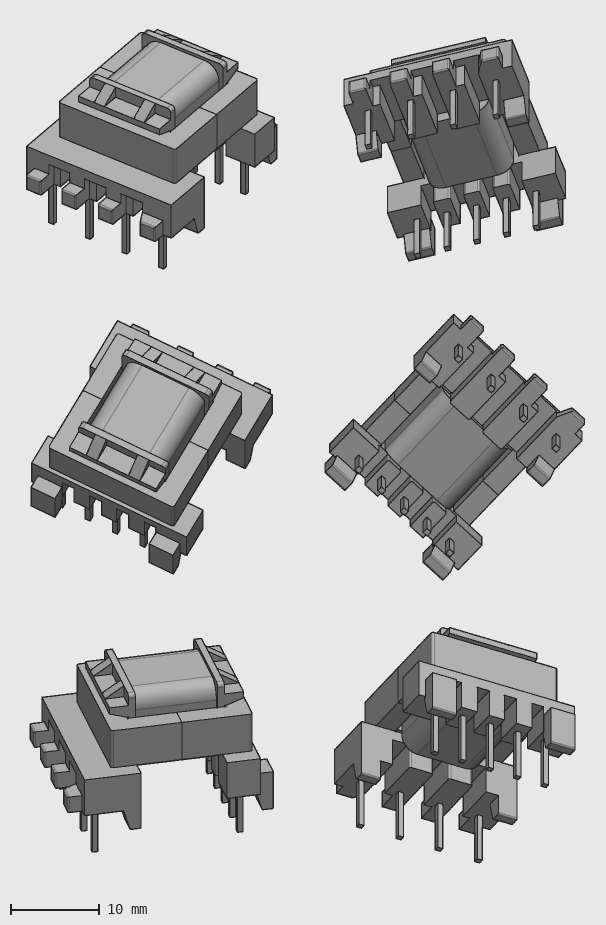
import cadquery as cq


CORE_WIDTH = 16.0
CORE_HALF_LENGTH = 8.2
CORE_BOTTOM = 4.65
CORE_TOP = 9.4
CORE_MID = (CORE_BOTTOM + CORE_TOP) / 2
CORE_CORNER = 0.3
WINDOW_WIDTH = 11.19
WINDOW_HALF_LENGTH = 5.71
LEG_WIDTH = 4.52

COIL_HALF_LENGTH = 4.75
COIL_SIZE = 10.0
COIL_CORNER = 2.0

FLANGE_WIDTH = 11.1
FLANGE_THICKNESS = 0.8
FLANGE_OUTER = COIL_HALF_LENGTH + FLANGE_THICKNESS
FLANGE_TOP = 12.4
FLANGE_CORNER = 0.5
SHELF_END = 7.78
SHELF_ROOT = 9.45
SHELF_EDGE_BOTTOM = 10.2
SHELF_TOP = 11.0
RIB_INNER = 2.0
RIB_WIDTH = 1.43

BASE_WIDTH = 19.8
BASE_TOP = 4.6
SLOT_TOP = 3.33
OUTER_POST_INNER = 5.95
POST_CORNER = 0.24

FRONT_FACE = -11.75
FRONT_BACK = -5.2
FRONT_POST_INNER = 1.0
FRONT_POST_OUTER = 4.0
SLOT_MOUTH_DEPTH = 1.0

PEG_SIZE = 2.0
PEG_END = -13.45
PEG_ROUND = 0.2
OUTER_PEG_INNER = 6.8
STRAIGHT_PEGS = [-OUTER_PEG_INNER - PEG_SIZE, -FRONT_POST_OUTER, FRONT_POST_INNER]

REAR_FACE = 8.66
REAR_CENTRE_POST = 1.9
REAR_POST_INNER = 2.5
REAR_POST_OUTER = 4.5

FOOT_BOTTOM = -2.5
FOOT_ROOT_DEPTH = 2.02
FOOT_TIP_DEPTH = 1.29
FOOT_ROUND = 0.2
FRONT_FOOT_INNER = 7.5
REAR_FOOT_BACK = 10.35
REAR_FOOT_TOP = 2.25
REAR_FOOT_INNER = 6.02
REAR_FOOT_OUTER = 9.07

PIN_WIDTH = 0.65
PIN_END = -6.0
FRONT_PIN_Y = -10.02
REAR_PIN_Y = 6.95
FRONT_PINS = [-7.52, -2.5, 2.5, 7.52]
REAR_PINS = [-7.0, -3.5, 0, 3.5, 7.0]


def block(x_range, y_range, z_range):
    """Box between two x, two y and two z positions given in any order."""
    x0, x1 = sorted(x_range)
    y0, y1 = sorted(y_range)
    z0, z1 = sorted(z_range)
    return cq.Workplane("XY").box(x1 - x0, y1 - y0, z1 - z0, centered=False).translate((x0, y0, z0))


def centred_block(width, y_range, z_range):
    return block((-width / 2, width / 2), y_range, z_range)


def side_profile(points, x0, x1):
    """Outline of (y, z) points extruded from x0 to x1."""
    return cq.Workplane("YZ").workplane(offset=x0).polyline(points).close().extrude(x1 - x0)


def core_half(side):
    """E-shaped core half on the side (+1 or -1) of y = 0, with its legs ending at y = 0."""
    half = centred_block(CORE_WIDTH, (0, side * CORE_HALF_LENGTH), (CORE_BOTTOM, CORE_TOP))
    half = half.edges("|Z").edges(">Y" if side > 0 else "<Y").fillet(CORE_CORNER)
    window = centred_block(WINDOW_WIDTH, (0, side * WINDOW_HALF_LENGTH), (CORE_BOTTOM, CORE_TOP))
    return half.cut(window.cut(leg_space()))


def leg_space():
    """Full length of the centre leg, also cut from the bodies around it."""
    return centred_block(LEG_WIDTH, (-WINDOW_HALF_LENGTH, WINDOW_HALF_LENGTH), (CORE_BOTTOM, CORE_TOP))


def coil():
    body = (
        cq.Workplane("XZ", origin=(0, 0, CORE_MID))
        .rect(COIL_SIZE, COIL_SIZE)
        .extrude(COIL_HALF_LENGTH, both=True)
        .edges("|Y")
        .fillet(COIL_CORNER)
    )
    return body.cut(leg_space())


def flange(side):
    """Coil flange with the sloped shelf and two ribs that overhang the core."""
    depth = (side * COIL_HALF_LENGTH, side * FLANGE_OUTER)
    plate = centred_block(FLANGE_WIDTH, depth, (BASE_TOP, FLANGE_TOP))
    plate = plate.edges("|Y and >Z").fillet(FLANGE_CORNER)
    shelf_points = [
        (side * COIL_HALF_LENGTH, SHELF_ROOT),
        (side * FLANGE_OUTER, SHELF_ROOT),
        (side * SHELF_END, SHELF_EDGE_BOTTOM),
        (side * SHELF_END, SHELF_TOP),
        (side * COIL_HALF_LENGTH, SHELF_TOP),
    ]
    plate = plate.union(side_profile(shelf_points, -FLANGE_WIDTH / 2, FLANGE_WIDTH / 2))
    rib_points = [
        (side * FLANGE_OUTER, SHELF_TOP),
        (side * SHELF_END, SHELF_TOP),
        (side * FLANGE_OUTER, FLANGE_TOP),
    ]
    for rib_start in (RIB_INNER, -RIB_INNER - RIB_WIDTH):
        plate = plate.union(side_profile(rib_points, rib_start, rib_start + RIB_WIDTH))
    return plate.cut(leg_space())


def foot(y_back, z_top, x0, x1):
    """Hanging foot with an upright back and a front that slopes in towards the tip."""
    points = [
        (y_back, FOOT_BOTTOM),
        (y_back, z_top),
        (y_back - FOOT_ROOT_DEPTH, z_top),
        (y_back - FOOT_ROOT_DEPTH, 0),
        (y_back - FOOT_TIP_DEPTH, FOOT_BOTTOM),
    ]
    return side_profile(points, x0, x1).edges("|X and <Z").fillet(FOOT_ROUND)


def pins(x_positions, y):
    row = cq.Workplane("XY").pushPoints([(x, y) for x in x_positions])
    return row.rect(PIN_WIDTH, PIN_WIDTH).extrude(PIN_END)


def wire_pegs():
    """Four pegs with rounded ends; the last one has a slanted inner side."""
    outlines = [
        [(x, FRONT_FACE), (x, PEG_END), (x + PEG_SIZE, PEG_END), (x + PEG_SIZE, FRONT_FACE)]
        for x in STRAIGHT_PEGS
    ]
    outer_x = OUTER_PEG_INNER + PEG_SIZE
    outlines.append(
        [
            (OUTER_POST_INNER, FRONT_FACE),
            (OUTER_PEG_INNER, PEG_END),
            (outer_x, PEG_END),
            (outer_x, FRONT_FACE),
        ]
    )
    pegs = cq.Workplane("XY")
    for outline in outlines:
        peg = cq.Workplane("XY").polyline(outline).close().extrude(PEG_SIZE)
        pegs = pegs.add(peg.faces("<Y").edges().fillet(PEG_ROUND))
    return pegs.combine()


def front_base():
    """Slotted base: two outer blocks and two posts under a slab, with wider slot mouths in front."""
    base = centred_block(BASE_WIDTH, (FRONT_FACE, FRONT_BACK), (SLOT_TOP, BASE_TOP))
    ledge = centred_block(2 * FRONT_POST_OUTER, (FRONT_FACE, -COIL_HALF_LENGTH), (SLOT_TOP, BASE_TOP))
    base = base.union(ledge.edges("|Z and >Y").fillet(POST_CORNER))
    for side in (-1, 1):
        outer = (side * OUTER_POST_INNER, side * BASE_WIDTH / 2)
        base = base.union(block(outer, (FRONT_FACE, FRONT_BACK), (0, BASE_TOP)))
        inner = (side * FRONT_POST_INNER, side * FRONT_POST_OUTER)
        post = block(inner, (FRONT_FACE, -COIL_HALF_LENGTH), (0, SLOT_TOP))
        base = base.union(post.edges("|Z and >Y").fillet(POST_CORNER))
        foot_x = sorted((side * FRONT_FOOT_INNER, side * BASE_WIDTH / 2))
        base = base.union(foot(FRONT_BACK, SLOT_TOP, *foot_x))
    slot_ends = [-FRONT_POST_OUTER, FRONT_POST_INNER, OUTER_POST_INNER]
    for peg_start, slot_end in zip(STRAIGHT_PEGS, slot_ends):
        mouth_y = (FRONT_FACE, FRONT_FACE + SLOT_MOUTH_DEPTH)
        base = base.cut(block((peg_start + PEG_SIZE, slot_end), mouth_y, (0, SLOT_TOP)))
    return base


def rear_base():
    """Slotted base: two outer blocks, two side posts and a centre post under a slab."""
    depth = (COIL_HALF_LENGTH, REAR_FACE)
    base = centred_block(BASE_WIDTH, depth, (SLOT_TOP, BASE_TOP))
    centre_post = centred_block(REAR_CENTRE_POST, depth, (0, SLOT_TOP))
    base = base.union(centre_post.edges("|Z and <Y").fillet(POST_CORNER))
    for side in (-1, 1):
        base = base.union(block((side * OUTER_POST_INNER, side * BASE_WIDTH / 2), depth, (0, BASE_TOP)))
        post = block((side * REAR_POST_INNER, side * REAR_POST_OUTER), depth, (0, SLOT_TOP))
        base = base.union(post.edges("|Z and <Y").fillet(POST_CORNER))
        foot_x = sorted((side * REAR_FOOT_INNER, side * REAR_FOOT_OUTER))
        base = base.union(foot(REAR_FOOT_BACK, REAR_FOOT_TOP, *foot_x))
    return base


front_carrier = front_base().union(flange(-1)).union(wire_pegs()).union(pins(FRONT_PINS, FRONT_PIN_Y))
rear_carrier = rear_base().union(flange(1)).union(pins(REAR_PINS, REAR_PIN_Y))
winding = coil()
core_halves = [core_half(side) for side in (-1, 1)]

result = cq.Compound.makeCompound(
    [front_carrier.val(), rear_carrier.val(), winding.val(), *[half.val() for half in core_halves]]
)